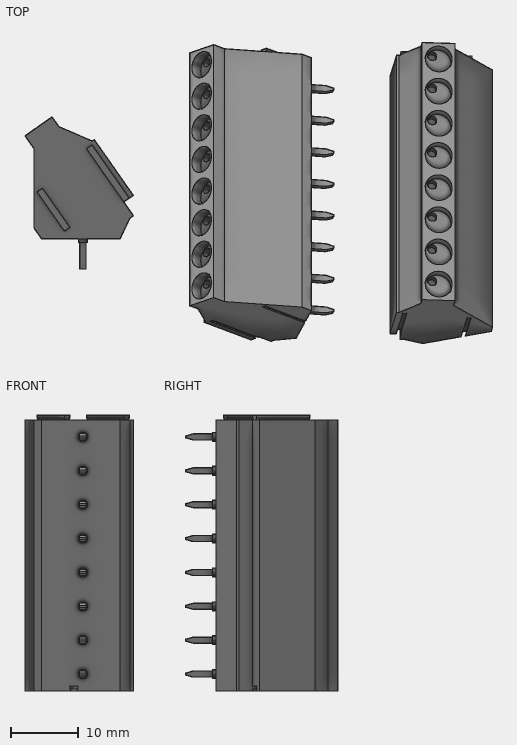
import cadquery as cq
import math

poles = 8
overall_height = 40.75
body_height = 40.0
pitch = body_height / poles
pole_heights = [pitch * (pole + 0.5) for pole in range(poles)]

tilt = math.radians(35)


def slanted(along, out):
    """Plan point: `along` runs down the slope, `out` points away to +X +Y."""
    x = along * math.sin(tilt) + out * math.cos(tilt)
    y = -along * math.cos(tilt) + out * math.sin(tilt)
    return (x, y)


def on_slant_at_x(x, out):
    """Plan point on the slanted line `out` at the given x."""
    return (x, (out - x * math.cos(tilt)) / math.sin(tilt))


def on_slant_at_y(y, out):
    """Plan point on the slanted line `out` at the given y."""
    return ((out - y * math.sin(tilt)) / math.cos(tilt), y)


left_wall_x = -7.25
mount_face_right_x = 5.5
entry_along = -17.35
entry_out_low = 1.7
entry_out_high = 6.6
neck_along = -15.6
screw_face_start = -11.05
screw_face_end = -0.98
screw_face_out = 9.78
screw_face_lip = 0.35
ledge_out = 8.05
ledge_end = 1.5
ledge_lip = 0.65
corner_cut_out = -5.0

entry_hole_diameter = 4.0
entry_hole_depth = 1.87
side_bore_diameter = 1.3
side_bore_depth = 1.22
side_bore_shift_out = 0.77
side_bore_shift_up = 1.0

collar_diameter = 1.35
collar_length = 0.53
pin_side = 0.95
pin_length = 4.5
pin_taper_length = 1.15
pin_tip_thickness = 0.3

rail_height = overall_height - body_height
rail_width = 0.98
rail_neck_width = 0.55
rail_neck_height = 0.33
mount_rail_out = -1.1
mount_rail_start = -9.55
mount_rail_end = -2.5
screw_rail_out = ledge_out + rail_width / 2
screw_rail_start = -10.6
groove_overrun = 3.25


def make_body():
    outline = [
        slanted(entry_along, entry_out_high),
        slanted(entry_along, entry_out_low),
        on_slant_at_x(left_wall_x, entry_out_low),
        on_slant_at_x(left_wall_x, corner_cut_out),
        on_slant_at_y(0, corner_cut_out),
        (mount_face_right_x, 0),
        slanted(ledge_end, ledge_out - ledge_lip),
        slanted(ledge_end, ledge_out),
        slanted(screw_face_end, ledge_out),
        slanted(screw_face_end, screw_face_out),
        slanted(screw_face_start, screw_face_out),
        slanted(screw_face_start, screw_face_out - screw_face_lip),
        slanted(neck_along, entry_out_high),
    ]
    return cq.Workplane("XY").polyline(outline).close().extrude(body_height)


def make_entry_bore(out, z, diameter, depth):
    """Round bore from the wire entry face, running down the slope."""
    x, y = slanted(entry_along, out)
    down_slope = (math.sin(tilt), -math.cos(tilt), 0)
    face = cq.Plane(origin=(x, y, z), xDir=(0, 0, 1), normal=down_slope)
    return cq.Workplane(face).circle(diameter / 2).extrude(depth)


def make_entry_hole(z):
    middle_out = (entry_out_low + entry_out_high) / 2
    hole = make_entry_bore(middle_out, z, entry_hole_diameter, entry_hole_depth)
    side_bore = make_entry_bore(
        middle_out + side_bore_shift_out,
        z + side_bore_shift_up,
        side_bore_diameter,
        entry_hole_depth + side_bore_depth,
    )
    return hole.union(side_bore)


def make_pin(z):
    mount_face = cq.Plane(origin=(0, 0, z), xDir=(1, 0, 0), normal=(0, -1, 0))
    collar = cq.Workplane(mount_face).circle(collar_diameter / 2).extrude(collar_length)
    half_side = pin_side / 2
    half_tip = pin_tip_thickness / 2
    taper_start = -(pin_length - pin_taper_length)
    blade = (
        cq.Workplane("YZ", origin=(-half_side, 0, z))
        .polyline([
            (0, -half_side),
            (taper_start, -half_side),
            (-pin_length, -half_tip),
            (-pin_length, half_tip),
            (taper_start, half_side),
            (0, half_side),
        ])
        .close()
        .extrude(pin_side)
    )
    return collar.union(blade)


def make_dovetail(out, start, end, base_z):
    """Dovetail bar standing on base_z, running down the slope."""
    x, y = slanted(start, out)
    down_slope = (math.sin(tilt), -math.cos(tilt), 0)
    across = (math.cos(tilt), math.sin(tilt), 0)
    section = cq.Plane(origin=(x, y, base_z), xDir=across, normal=down_slope)
    half_width = rail_width / 2
    half_neck = rail_neck_width / 2
    return (
        cq.Workplane(section)
        .polyline([
            (-half_neck, 0),
            (-half_width, rail_neck_height),
            (-half_width, rail_height),
            (half_width, rail_height),
            (half_width, rail_neck_height),
            (half_neck, 0),
        ])
        .close()
        .extrude(end - start)
    )


result = make_body()
for height in pole_heights:
    result = result.cut(make_entry_hole(height)).union(make_pin(height))

for out, start, end in [
    (mount_rail_out, mount_rail_start, mount_rail_end),
    (screw_rail_out, screw_rail_start, screw_face_end),
]:
    result = result.union(make_dovetail(out, start, end, body_height))
    result = result.cut(make_dovetail(out, start, end + groove_overrun, 0))